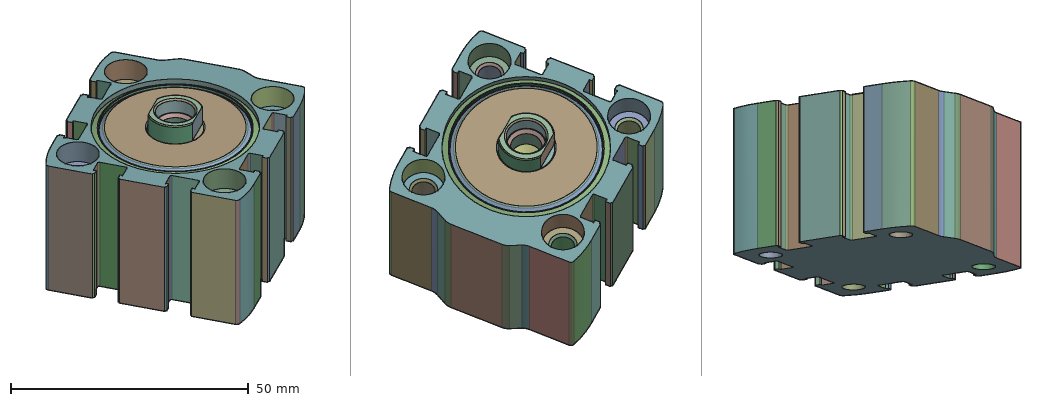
import cadquery as cq
import math

width = 45.0
depth = 47.0
half_width = width / 2
back_y = depth - half_width
housing_height = 31.5

bulge_start = 15.5
bulge_radius = 20.0
corner_radius = 0.85

bump_half_top = 6.75
bump_half_base = 10.55
bump_blend_radius = 3.3

slot_offset = 8.0
slot_mouth = 5.15
slot_width = 6.5
slot_depth = 4.7
slot_lip = 1.5
slot_lip_radius = 0.38
slot_floor_radius = 0.38

bolt_offset = 16.2
bolt_hole_diameter = 4.95
bolt_chamfer_diameter = 6.0
counterbore_diameter = 9.0
counterbore_depth = 5.0

recess_radius = 35.4 / 2
recess_depth = 1.2
ring_outer_radius = 16.4
ring_inner_radius = 16.15
ring_depth = 0.45
cap_base_radius = 32.0 / 2
groove_depth = 1.05
cap_shoulder_radius = 15.28
cap_shoulder_depth = 0.4
cap_radius = 14.9
cap_depth = 0.25

rod_diameter = 12.0
rod_top = 35.5
rod_bottom = housing_height / 2
rod_chamfer = 0.25
rod_flats = 9.85
flat_sink = 0.2
flat_run_out_angle = 30.0
rod_seat_chamfer = 0.3

thread_diameter = 8.4
thread_mouth_diameter = 9.15
thread_depth = 3.35
drill_chamfer_diameter = 8.1
drill_diameter = 6.65
drill_depth = 8.0
drill_tip_angle = 118.0

cap_top = housing_height - cap_depth


def make_block():
    """Extruded outline with bulging sides and a raised band at the back."""
    bulge_center = half_width - bulge_radius
    bulge_rise = half_width - bulge_start
    corner_x = bulge_center + math.sqrt(bulge_radius**2 - bulge_rise**2)
    block = (
        cq.Workplane("XY")
        .moveTo(-corner_x, -half_width)
        .lineTo(corner_x, -half_width)
        .radiusArc((half_width, -bulge_start), -bulge_radius)
        .lineTo(half_width, bulge_start)
        .radiusArc((corner_x, half_width), -bulge_radius)
        .lineTo(-corner_x, half_width)
        .radiusArc((-half_width, bulge_start), -bulge_radius)
        .lineTo(-half_width, -bulge_start)
        .radiusArc((-corner_x, -half_width), -bulge_radius)
        .close()
        .extrude(housing_height)
    )
    block = block.edges("|Z and (<Y or >Y)").fillet(corner_radius)
    bump = (
        cq.Workplane("XY")
        .polyline([
            (-bump_half_base, half_width),
            (-bump_half_top, back_y),
            (bump_half_top, back_y),
            (bump_half_base, half_width),
            (bump_half_base, 0),
            (-bump_half_base, 0),
        ])
        .close()
        .extrude(housing_height)
    )
    block = block.union(bump)
    for x, y in ((bump_half_base, half_width), (bump_half_top, back_y)):
        for side in (-1, 1):
            bend = cq.selectors.NearestToPointSelector((side * x, y, housing_height / 2))
            block = block.edges(bend).fillet(bump_blend_radius)
    return block


def make_slot():
    """Cutter for one T-slot opening through the front face, centred on X = 0."""
    half_mouth = slot_mouth / 2
    flared = half_mouth + slot_lip_radius
    face = -half_width
    neck = (
        cq.Workplane("XY")
        .moveTo(-flared, face)
        .radiusArc((-half_mouth, face + slot_lip_radius), slot_lip_radius)
        .lineTo(-half_mouth, face + slot_depth / 2)
        .lineTo(half_mouth, face + slot_depth / 2)
        .lineTo(half_mouth, face + slot_lip_radius)
        .radiusArc((flared, face), slot_lip_radius)
        .close()
        .extrude(housing_height)
    )
    chamber = (
        cq.Workplane("XY")
        .center(0, face + (slot_lip + slot_depth) / 2)
        .rect(slot_width, slot_depth - slot_lip)
        .extrude(housing_height)
        .edges("|Z and >Y")
        .fillet(slot_floor_radius)
    )
    return neck.union(chamber)


def make_bolt_hole():
    """Cutter for a counterbored through hole on the Z axis."""
    floor = housing_height - counterbore_depth
    hole_radius = bolt_hole_diameter / 2
    chamfer_radius = bolt_chamfer_diameter / 2
    return (
        cq.Workplane("XZ")
        .polyline([
            (0, 0),
            (hole_radius, 0),
            (hole_radius, floor - (chamfer_radius - hole_radius)),
            (chamfer_radius, floor),
            (counterbore_diameter / 2, floor),
            (counterbore_diameter / 2, housing_height),
            (0, housing_height),
        ])
        .close()
        .revolve(360, (0, 0), (0, 1))
    )


def make_cap_recess():
    """Cutter that leaves the stepped, tapered end cap inside the round recess."""
    top = housing_height
    return (
        cq.Workplane("XZ")
        .polyline([
            (0, top),
            (recess_radius, top),
            (recess_radius, top - recess_depth),
            (ring_outer_radius, top - ring_depth),
            (ring_inner_radius, top - ring_depth),
            (ring_inner_radius, top - groove_depth),
            (cap_base_radius, top - groove_depth),
            (cap_shoulder_radius, top - cap_shoulder_depth),
            (cap_radius, cap_top),
            (0, cap_top),
        ])
        .close()
        .revolve(360, (0, 0), (0, 1))
    )


def make_rod_hole():
    """Cutter for the blind rod bore with its chamfered mouth in the cap."""
    radius = rod_diameter / 2
    return (
        cq.Workplane("XZ")
        .polyline([
            (0, rod_bottom),
            (radius, rod_bottom),
            (radius, cap_top - rod_seat_chamfer),
            (radius + rod_seat_chamfer, cap_top),
            (0, cap_top),
        ])
        .close()
        .revolve(360, (0, 0), (0, 1))
    )


def make_housing():
    """Cylinder housing with its end cap."""
    body = make_block()
    slot = make_slot()
    for angle in (-90, 0, 90):
        for offset in (-slot_offset, slot_offset):
            body = body.cut(slot.translate((offset, 0, 0)).rotate((0, 0, 0), (0, 0, 1), angle))
    bolt_hole = make_bolt_hole()
    for x in (-bolt_offset, bolt_offset):
        for y in (-bolt_offset, bolt_offset):
            body = body.cut(bolt_hole.translate((x, y, 0)))
    return body.cut(make_cap_recess()).cut(make_rod_hole())


def make_socket():
    """Cutter for the threaded socket with its chamfers and drilled tip."""
    thread_radius = thread_diameter / 2
    mouth_radius = thread_mouth_diameter / 2
    drill_radius = drill_diameter / 2
    chamfer_radius = drill_chamfer_diameter / 2
    tip = drill_radius / math.tan(math.radians(drill_tip_angle / 2))
    return (
        cq.Workplane("XZ")
        .polyline([
            (0, rod_top),
            (mouth_radius, rod_top),
            (thread_radius, rod_top - (mouth_radius - thread_radius)),
            (thread_radius, rod_top - thread_depth),
            (chamfer_radius, rod_top - thread_depth),
            (drill_radius, rod_top - thread_depth - (chamfer_radius - drill_radius)),
            (drill_radius, rod_top - drill_depth),
            (0, rod_top - drill_depth - tip),
        ])
        .close()
        .revolve(360, (0, 0), (0, 1))
    )


def make_flat():
    """Cutter for the +X wrench flat, which slopes out below the cap face."""
    flat_x = rod_flats / 2
    flat_bottom = cap_top - flat_sink
    run_out = rod_diameter / 2 - flat_x
    run_out_drop = run_out * math.tan(math.radians(flat_run_out_angle))
    return (
        cq.Workplane("XZ")
        .polyline([
            (flat_x, rod_top),
            (flat_x, flat_bottom),
            (flat_x + run_out, flat_bottom - run_out_drop),
            (flat_x + run_out, rod_top),
        ])
        .close()
        .extrude(rod_diameter / 2, both=True)
    )


def make_rod():
    """Piston rod with two wrench flats and a threaded socket."""
    rod = (
        cq.Workplane("XY")
        .workplane(offset=rod_bottom)
        .circle(rod_diameter / 2)
        .extrude(rod_top - rod_bottom)
        .faces(">Z")
        .chamfer(rod_chamfer)
    )
    flat = make_flat()
    for angle in (0, 180):
        rod = rod.cut(flat.rotate((0, 0, 0), (0, 0, 1), angle))
    return rod.cut(make_socket())


housing = make_housing()
piston_rod = make_rod()
result = cq.Compound.makeCompound([housing.val(), piston_rod.val()])